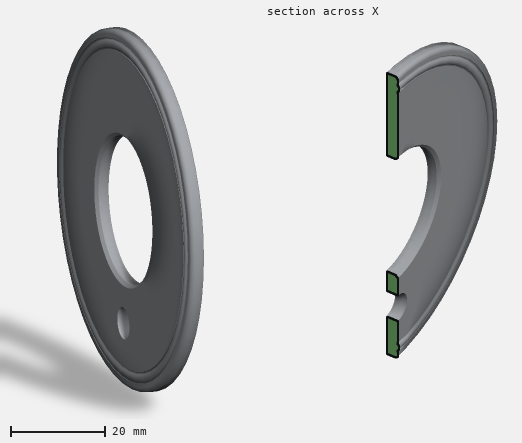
import cadquery as cq
import math

outer_diameter = 78.0
disc_thickness = 3.0
front_edge_radius = 1.0
back_edge_chamfer = 0.2

overall_thickness = 3.3
groove_outer_radius = 37.1
groove_inner_radius = 34.6
groove_depth = 0.2

bore_diameter = 32.0
bore_chamfer = 0.7

pin_hole_diameter = 7.0
pin_hole_offset = 25.0

outer_radius = outer_diameter / 2
bore_radius = bore_diameter / 2
back_y = overall_thickness / 2
front_y = back_y - disc_thickness
bead_crest_y = back_y - overall_thickness
groove_floor_y = front_y + groove_depth
bead_mid_radius = (groove_outer_radius + groove_inner_radius) / 2
bead_radius = (groove_outer_radius - groove_inner_radius) / 2
bead_center_y = bead_crest_y + bead_radius
bead_foot_half_width = math.sqrt(bead_radius**2 - (bead_center_y - groove_floor_y) ** 2)
bead_outer_radius = bead_mid_radius + bead_foot_half_width
bead_inner_radius = bead_mid_radius - bead_foot_half_width


def make_disc():
    """Revolve the half section (radius along X, thickness along Y) about the Y axis."""
    arc_inset = front_edge_radius * (1 - math.sqrt(0.5))
    section = (
        cq.Workplane("XY")
        .moveTo(bore_radius, back_y)
        .lineTo(outer_radius - back_edge_chamfer, back_y)
        .lineTo(outer_radius, back_y - back_edge_chamfer)
        .lineTo(outer_radius, front_y + front_edge_radius)
        .threePointArc(
            (outer_radius - arc_inset, front_y + arc_inset),
            (outer_radius - front_edge_radius, front_y),
        )
        .lineTo(groove_outer_radius, front_y)
        .lineTo(groove_outer_radius, groove_floor_y)
        .lineTo(bead_outer_radius, groove_floor_y)
        .threePointArc((bead_mid_radius, bead_crest_y), (bead_inner_radius, groove_floor_y))
        .lineTo(groove_inner_radius, groove_floor_y)
        .lineTo(groove_inner_radius, front_y)
        .lineTo(bore_radius + bore_chamfer, front_y)
        .lineTo(bore_radius, front_y + bore_chamfer)
        .close()
    )
    return section.revolve(360, (0, 0, 0), (0, 1, 0))


def make_pin_hole_cutter():
    """Cylinder through the full thickness, running from the back face to the bead crest level."""
    return (
        cq.Workplane("XZ", origin=(0, back_y, -pin_hole_offset))
        .circle(pin_hole_diameter / 2)
        .extrude(overall_thickness)
    )


result = make_disc().cut(make_pin_hole_cutter())